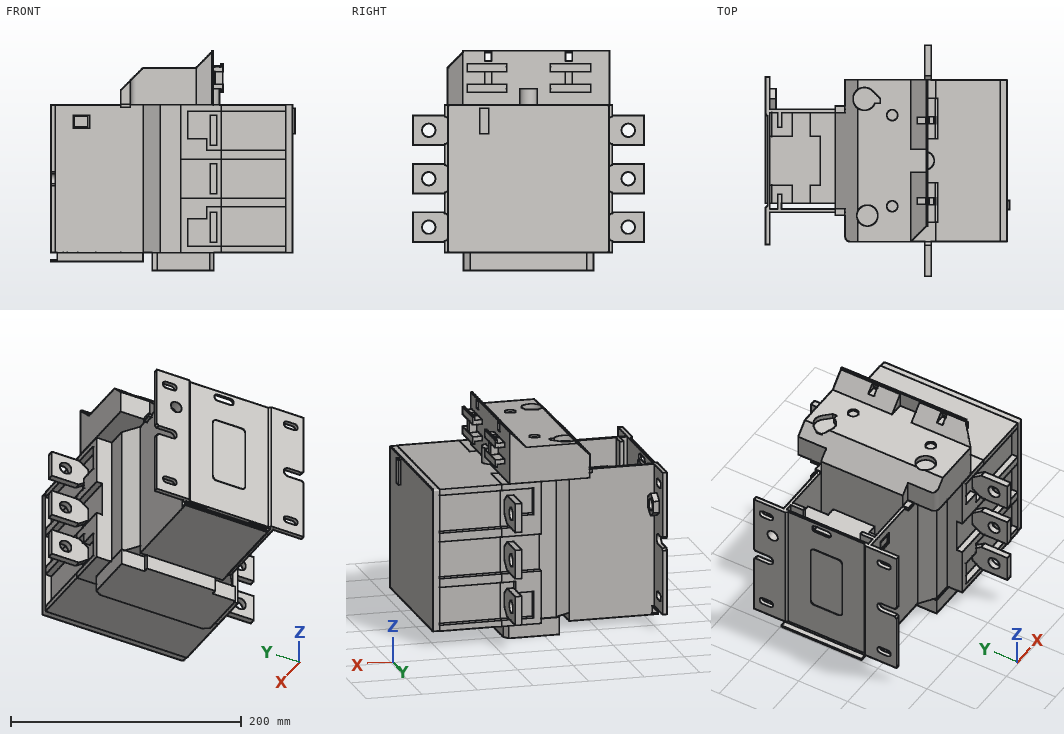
import cadquery as cq
import math


OVERALL_LENGTH = 212.0
BODY_HALF_HEIGHT = 64.15
BODY_HALF_WIDTH = 70.1
WALL_INNER_Y = 41.7
WALL_OUTER_Y = 44.7
POLE_PITCH = 42.0
SIDES = (-1, 1)

PLATE_THICKNESS = 4.0
PLATE_HALF_WIDTH = 72.8
WALL_END_X = 80.2
JOGGLE_DEPTH = 2.0
JOGGLE_HALF_WIDTH = 40.8
FIXING_SLOT_Y = 60.0
FIXING_SLOT_Z = 51.0
FIXING_SLOT_LENGTH = 13.6
FIXING_SLOT_WIDTH = 6.6
OPEN_SLOT_END_Y = 53.2
OPEN_SLOT_WIDTH = 8.8
OPEN_SLOT_FLARE = 1.8
PLATE_SLOT_Y = 5.0
PLATE_SLOT_Z = 57.1
PLATE_SLOT_LENGTH = 19.2
PANEL_WIDTH = 32.2
PANEL_HEIGHT = 65.0
PANEL_CORNER = 4.0
PANEL_RECESS = 0.4
EARTH_Y = 53.6
EARTH_Z = 30.5
EARTH_HOLE = 10.6
EARTH_NUT_ACROSS_FLATS = 17.6
EARTH_NUT_HEIGHT = 5.5
LUG_X = 10.8
LUG_THICKNESS = 3.5
LUG_LENGTH = 12.6
WALL_MARK_X = 26.5
WALL_MARK_Z = 49.5
WALL_MARK_SIZE = (14.2, 11.0)
WALL_MARK_INNER_X = 26.2
WALL_MARK_INNER_SIZE = (12.0, 9.0)
WALL_MARK_DEPTH = 0.6

TRAY_MIN_Y = -37.1
TRAY_FRONT_X = 5.6
TRAY_BOTTOM_Z = -71.9
TRAY_LIP = 1.5
COIL_TOP_Z = 40.6
COIL_CENTRE_HALF_WIDTH = 21.1
COIL_CENTRE_END_X = 47.5
COIL_SIDE_START_X = 23.5
COIL_SIDE_END_X = 38.9

HOUSING_FRONT_X = 60.5
SHOULDER_X = 95.0
SHOULDER_Y = 55.0
FLANK_X = 112.6
COVER_X = 147.8
RECESS_FLOOR_Y = 64.3
MID_CELL_HALF_HEIGHT = 16.7
CELL_START_X = 119.0
CELL_NECK_X = 135.4
CELL_BOTTOM_Z = 24.5
CELL_SHELF_Z = 34.8
CELL_TOP_Z = 58.7
TAB_END_X = 69.1
TAB_OUTER_Y = 47.5
TAB_BOTTOM_Z = 61.8
TAB_TOP_Z = 64.8

BOX_HALF_WIDTH = 70.4
BOX_TOP_Z = 96.2
BOX_NOSE_Z = 76.6
BOX_CORNER_RADIUS = 4.9
FLAP_X = 126.0
FLAP_TOP_Z = 111.0
BOX_BACK_X = 141.0
FLAP_LIP = 1.6
FLAP_NOTCH_HALF_WIDTH = 9.9
WINDOW_WIDTH = 5.8
WINDOW_BOTTOM_Z = 102.2
WINDOW_TOP_Z = 109.4
CLAMP_Y = 35.0
KEY_X, KEY_Y, KEY_RADIUS = 86.0, 53.6, 9.9
KEY_TIP_X = 99.6
KEY_TIP_Y = 50.0
CUP_X, CUP_Y, CUP_RADIUS = 88.5, -47.6, 9.1
CUP_DEPTH = 4.9
DIMPLE_X, DIMPLE_Y, DIMPLE_RADIUS, DIMPLE_DEPTH = 110.1, 39.5, 4.7, 2.0
POST_X, POST_RADIUS, POST_TOP_Z = 138.7, 7.8, 78.2

CLAMP_MID_Z = 87.4
CLAMP_END_X = 149.4
CLAMP_LIP = 1.8
CLAMP_JAW_GAP = 10.8
CLAMP_HEIGHT = 19.0
CLAMP_LIP_HEIGHT = 24.4
CLAMP_RANGES = ((19.0, 54.0), (-53.3, -19.0))
CLAMP_SCREW_WIDTH = 6.0
CLAMP_SCREW_START_X = 142.3
CLAMP_SCREW_END_X = 149.2
CLAMP_PEG_END_X = 146.2
CLAMP_PEG_TOP_Z = 98.0

BASE_BOTTOM_Z = -79.72
BASE_STEP_X = 87.8
BASE_STEP_HALF_WIDTH = 33.8
BASE_FRONT_X = 92.4
BASE_HALF_WIDTH = 56.4
BASE_BACK_X = 141.4
BASE_CHAMFER_X = 3.7
BASE_CHAMFER_Y = 5.7

TERMINAL_X = 138.3
TERMINAL_THICKNESS = 5.8
TERMINAL_TIP_Y = 100.2
TERMINAL_HALF_HEIGHT = 12.95
TERMINAL_ROOT_HALF_HEIGHT = 6.4
TERMINAL_SHOULDER_Y = 73.5
TERMINAL_HOLE_Y = 86.5
TERMINAL_HOLE = 11.4

END_PLATE_X = 203.8
COVER_END_X = 210.0
END_PLATE_OVERHANG = 0.1
TONGUE_HALF_WIDTH = 35.0
TONGUE_DEPTH = 5.0
COVER_CORNER_RADIUS = 1.5
COVER_EDGE_CHAMFER = 0.5
BUTTON_Y = (-42.4, -34.4)
BUTTON_Z = (39.0, 61.2)


def block(x_range, y_range, z_range):
    """Box given by its lower and upper limits along each axis."""
    size = [high - low for low, high in (x_range, y_range, z_range)]
    corner = (x_range[0], y_range[0], z_range[0])
    return cq.Workplane("XY").box(*size, centered=False).translate(corner)


def column(points, bottom_z, top_z):
    """Prism standing on an outline in X and Y."""
    return cq.Workplane("XY").workplane(offset=bottom_z).polyline(points).close().extrude(top_z - bottom_z)


def side_range(side, inner, outer):
    """Y limits of a strip between two distances from the middle, on one side."""
    return tuple(sorted((side * inner, side * outer)))


FULL_HEIGHT = (-BODY_HALF_HEIGHT, BODY_HALF_HEIGHT)


def mounting_plate():
    """Plate with a shallow joggle, fixing slots, open side slots and the earth terminal."""
    recess_half_width = JOGGLE_HALF_WIDTH - JOGGLE_DEPTH
    plate = block((0, PLATE_THICKNESS), (-PLATE_HALF_WIDTH, PLATE_HALF_WIDTH), FULL_HEIGHT)
    joggle = column(
        [
            (0, -JOGGLE_HALF_WIDTH),
            (JOGGLE_DEPTH, -recess_half_width),
            (JOGGLE_DEPTH, recess_half_width),
            (0, JOGGLE_HALF_WIDTH),
        ],
        *FULL_HEIGHT,
    )
    slots = (
        cq.Workplane("YZ")
        .pushPoints([(y * FIXING_SLOT_Y, z * FIXING_SLOT_Z) for y in SIDES for z in SIDES])
        .slot2D(FIXING_SLOT_LENGTH, FIXING_SLOT_WIDTH)
        .extrude(PLATE_THICKNESS)
    )
    centre_slot = (
        cq.Workplane("YZ")
        .center(PLATE_SLOT_Y, PLATE_SLOT_Z)
        .slot2D(PLATE_SLOT_LENGTH, FIXING_SLOT_WIDTH)
        .extrude(PLATE_THICKNESS)
    )
    panel = (
        cq.Workplane("YZ", origin=(JOGGLE_DEPTH, 0, 0))
        .rect(PANEL_WIDTH, PANEL_HEIGHT)
        .extrude(PANEL_RECESS)
        .edges("|X")
        .fillet(PANEL_CORNER)
    )
    plate = plate.cut(joggle).cut(slots).cut(centre_slot).cut(panel)
    for side in SIDES:
        plate = plate.cut(open_slot(side))
    nut = (
        cq.Workplane("YZ", origin=(PLATE_THICKNESS, EARTH_Y, EARTH_Z))
        .polygon(6, EARTH_NUT_ACROSS_FLATS / math.cos(math.pi / 6))
        .extrude(EARTH_NUT_HEIGHT)
        .rotate((0, EARTH_Y, EARTH_Z), (1, EARTH_Y, EARTH_Z), 30)
    )
    hole = (
        cq.Workplane("YZ", origin=(0, EARTH_Y, EARTH_Z))
        .circle(EARTH_HOLE / 2)
        .extrude(PLATE_THICKNESS + EARTH_NUT_HEIGHT)
    )
    return plate.union(nut).cut(hole)


def open_slot(side):
    """Cutter for a round-ended slot that opens, slightly flared, at the plate's side edge."""
    radius = OPEN_SLOT_WIDTH / 2
    arc_start_y = side * (OPEN_SLOT_END_Y + radius)
    flare_y = side * (PLATE_HALF_WIDTH - OPEN_SLOT_FLARE)
    edge_y = side * PLATE_HALF_WIDTH
    mouth = radius + OPEN_SLOT_FLARE
    return (
        cq.Workplane("YZ")
        .moveTo(arc_start_y, radius)
        .lineTo(flare_y, radius)
        .lineTo(edge_y, mouth)
        .lineTo(edge_y, -mouth)
        .lineTo(flare_y, -radius)
        .lineTo(arc_start_y, -radius)
        .threePointArc((side * OPEN_SLOT_END_Y, 0), (arc_start_y, radius))
        .close()
        .extrude(PLATE_THICKNESS)
    )


def frame_side(side):
    """Side wall with an inward lug, notched on top for the housing's tab."""
    wall = block((PLATE_THICKNESS, WALL_END_X), side_range(side, WALL_INNER_Y, WALL_OUTER_Y), FULL_HEIGHT)
    lug = block(
        (LUG_X, LUG_X + LUG_THICKNESS),
        side_range(side, WALL_INNER_Y - LUG_LENGTH, WALL_INNER_Y),
        FULL_HEIGHT,
    )
    notch = block(
        (HOUSING_FRONT_X, TAB_END_X),
        side_range(side, WALL_INNER_Y, WALL_OUTER_Y),
        (TAB_BOTTOM_Z, BODY_HALF_HEIGHT),
    )
    return wall.union(lug).cut(notch)


def wall_mark():
    """Cutter for the stepped shallow rectangle in the outside of the -Y wall."""
    width, height = WALL_MARK_SIZE
    inner_width, inner_height = WALL_MARK_INNER_SIZE
    outer = cq.Workplane("XY").box(width, 2 * WALL_MARK_DEPTH, height)
    inner = cq.Workplane("XY").box(inner_width, 4 * WALL_MARK_DEPTH, inner_height)
    return outer.translate((WALL_MARK_X, -WALL_OUTER_Y, WALL_MARK_Z)).union(
        inner.translate((WALL_MARK_INNER_X, -WALL_OUTER_Y, WALL_MARK_Z))
    )


def coil():
    """Coil block on its tray, with a narrow lip in front of the tray."""
    bottom = -BODY_HALF_HEIGHT
    centre = block(
        (PLATE_THICKNESS, COIL_CENTRE_END_X),
        (-COIL_CENTRE_HALF_WIDTH, COIL_CENTRE_HALF_WIDTH),
        (bottom, COIL_TOP_Z),
    )
    sides = block((COIL_SIDE_START_X, COIL_SIDE_END_X), (TRAY_MIN_Y, WALL_INNER_Y), (bottom, COIL_TOP_Z))
    tray = block((TRAY_FRONT_X, WALL_END_X), (TRAY_MIN_Y, WALL_OUTER_Y), (TRAY_BOTTOM_Z, bottom))
    lip = block((0, TRAY_FRONT_X), (TRAY_MIN_Y, WALL_OUTER_Y), (TRAY_BOTTOM_Z, TRAY_BOTTOM_Z + TRAY_LIP))
    return centre.union(sides).union(tray).union(lip)


def mounting_frame():
    frame = mounting_plate()
    for side in SIDES:
        frame = frame.union(frame_side(side))
    return frame.cut(wall_mark()).union(coil())


def side_cells(side):
    """Cutter for the three pole cells in one flank."""
    depth = side_range(side, RECESS_FLOOR_Y, BODY_HALF_WIDTH)
    cells = block((FLANK_X, END_PLATE_X), depth, (-MID_CELL_HALF_HEIGHT, MID_CELL_HALF_HEIGHT))
    for end in SIDES:
        shelf = tuple(sorted((end * CELL_SHELF_Z, end * CELL_TOP_Z)))
        neck = tuple(sorted((end * CELL_BOTTOM_Z, end * CELL_TOP_Z)))
        cells = cells.union(block((CELL_START_X, END_PLATE_X), depth, shelf))
        cells = cells.union(block((CELL_NECK_X, END_PLATE_X), depth, neck))
    return cells


def housing_core():
    """Full-height middle of the housing, stepping outwards from the frame to the flanks."""
    flank = [
        (HOUSING_FRONT_X, WALL_INNER_Y),
        (WALL_END_X, WALL_INNER_Y),
        (WALL_END_X, WALL_OUTER_Y),
        (SHOULDER_X, SHOULDER_Y),
        (FLANK_X, SHOULDER_Y),
        (FLANK_X, BODY_HALF_WIDTH),
        (COVER_X, BODY_HALF_WIDTH),
    ]
    mirrored = [(x, -y) for x, y in reversed(flank)]
    core = column(flank + mirrored, *FULL_HEIGHT)
    core = core.cut(cover_tongue())
    for side in SIDES:
        core = core.cut(side_cells(side))
        core = core.union(
            block(
                (HOUSING_FRONT_X, TAB_END_X),
                side_range(side, WALL_INNER_Y, TAB_OUTER_Y),
                (TAB_BOTTOM_Z, TAB_TOP_Z),
            )
        )
    return core


def upper_box():
    """Box on top of the housing: sloping nose, and a sloping flap at its back edge."""
    nose_run = BOX_TOP_Z - BOX_NOSE_Z
    flap_edge_x = BOX_BACK_X - FLAP_LIP
    flap_run = flap_edge_x - FLAP_X
    profile = [
        (HOUSING_FRONT_X, BODY_HALF_HEIGHT),
        (HOUSING_FRONT_X, BOX_NOSE_Z),
        (HOUSING_FRONT_X + nose_run, BOX_TOP_Z),
        (FLAP_X, BOX_TOP_Z),
        (flap_edge_x, BOX_TOP_Z + flap_run),
        (flap_edge_x, FLAP_TOP_Z),
        (BOX_BACK_X, FLAP_TOP_Z),
        (BOX_BACK_X, BODY_HALF_HEIGHT),
    ]
    box = (
        cq.Workplane("XZ", origin=(0, BOX_HALF_WIDTH, 0))
        .polyline(profile)
        .close()
        .extrude(2 * BOX_HALF_WIDTH)
    )
    plan = column(
        [
            (HOUSING_FRONT_X, -WALL_INNER_Y),
            (TAB_END_X, -WALL_INNER_Y),
            (TAB_END_X, -BOX_HALF_WIDTH),
            (FLAP_X, -BOX_HALF_WIDTH),
            (flap_edge_x, flap_run - BOX_HALF_WIDTH),
            (BOX_BACK_X, flap_run - BOX_HALF_WIDTH),
            (BOX_BACK_X, BOX_HALF_WIDTH),
            (TAB_END_X, BOX_HALF_WIDTH),
            (TAB_END_X, WALL_INNER_Y),
            (HOUSING_FRONT_X, WALL_INNER_Y),
        ],
        BODY_HALF_HEIGHT,
        FLAP_TOP_Z,
    )
    nose_corner = cq.selectors.NearestToPointSelector((TAB_END_X, -BOX_HALF_WIDTH, BOX_TOP_Z))
    box = box.intersect(plan.edges("|Z").edges(nose_corner).fillet(BOX_CORNER_RADIUS))
    notch = block(
        (FLAP_X, flap_edge_x),
        (-FLAP_NOTCH_HALF_WIDTH, FLAP_NOTCH_HALF_WIDTH),
        (BOX_TOP_Z, FLAP_TOP_Z),
    )
    box = box.cut(notch).cut(top_pockets())
    for side in SIDES:
        middle = side * CLAMP_Y
        box = box.cut(
            block(
                (FLAP_X, BOX_BACK_X),
                (middle - WINDOW_WIDTH / 2, middle + WINDOW_WIDTH / 2),
                (WINDOW_BOTTOM_Z, WINDOW_TOP_Z),
            )
        )
    return box


def top_pockets():
    """Cutter for the keyed pocket, the round pocket and the two dimples in the box top."""
    pocket_floor_z = BOX_TOP_Z - CUP_DEPTH
    tangent = KEY_RADIUS * math.sqrt(0.5)
    key_tip_top_y = KEY_Y + KEY_RADIUS * math.sqrt(2) - (KEY_TIP_X - KEY_X)
    key = column(
        [
            (KEY_X, KEY_Y),
            (KEY_X + tangent, KEY_Y + tangent),
            (KEY_TIP_X, key_tip_top_y),
            (KEY_TIP_X, KEY_TIP_Y),
            (KEY_X, KEY_TIP_Y),
        ],
        pocket_floor_z,
        BOX_TOP_Z,
    )
    floor = cq.Workplane("XY").workplane(offset=pocket_floor_z)
    key_round = floor.center(KEY_X, KEY_Y).circle(KEY_RADIUS).extrude(CUP_DEPTH)
    cup = floor.center(CUP_X, CUP_Y).circle(CUP_RADIUS).extrude(CUP_DEPTH)
    dimples = (
        cq.Workplane("XY")
        .workplane(offset=BOX_TOP_Z - DIMPLE_DEPTH)
        .pushPoints([(DIMPLE_X, side * DIMPLE_Y) for side in SIDES])
        .circle(DIMPLE_RADIUS)
        .extrude(DIMPLE_DEPTH)
    )
    return key.union(key_round).union(cup).union(dimples)


def coil_clamp(y_range, screw_y):
    """Two lipped jaws with a screw block between them and a peg through the upper jaw."""
    lip_start_x = CLAMP_END_X - CLAMP_LIP
    screw_range = (screw_y - CLAMP_SCREW_WIDTH / 2, screw_y + CLAMP_SCREW_WIDTH / 2)
    gap_half = CLAMP_JAW_GAP / 2
    screw = block(
        (CLAMP_SCREW_START_X, CLAMP_SCREW_END_X),
        screw_range,
        (CLAMP_MID_Z - gap_half, CLAMP_MID_Z + gap_half),
    )
    peg = block(
        (CLAMP_SCREW_START_X, CLAMP_PEG_END_X),
        screw_range,
        (CLAMP_MID_Z + gap_half, CLAMP_PEG_TOP_Z),
    )
    clamp = screw.union(peg)
    for end in SIDES:
        inner = CLAMP_MID_Z + end * gap_half
        outer = CLAMP_MID_Z + end * CLAMP_HEIGHT / 2
        lip_end = CLAMP_MID_Z + end * CLAMP_LIP_HEIGHT / 2
        clamp = clamp.union(block((BOX_BACK_X, CLAMP_END_X), y_range, tuple(sorted((inner, outer)))))
        clamp = clamp.union(block((lip_start_x, CLAMP_END_X), y_range, tuple(sorted((inner, lip_end)))))
    return clamp


def lower_block():
    """Block under the housing, stepped in front and chamfered at its back corners."""
    side_outline = [
        (BASE_STEP_X, BASE_STEP_HALF_WIDTH),
        (BASE_FRONT_X, BASE_STEP_HALF_WIDTH),
        (BASE_FRONT_X, BASE_HALF_WIDTH),
        (BASE_BACK_X - BASE_CHAMFER_X, BASE_HALF_WIDTH),
        (BASE_BACK_X, BASE_HALF_WIDTH - BASE_CHAMFER_Y),
    ]
    mirrored = [(x, -y) for x, y in reversed(side_outline)]
    return column(side_outline + mirrored, BASE_BOTTOM_Z, -BODY_HALF_HEIGHT)


def power_terminal(side, z):
    """Flat terminal bar with a tapered root and a round hole."""
    outline = [
        (RECESS_FLOOR_Y, TERMINAL_ROOT_HALF_HEIGHT),
        (TERMINAL_SHOULDER_Y, TERMINAL_HALF_HEIGHT),
        (TERMINAL_TIP_Y, TERMINAL_HALF_HEIGHT),
    ]
    mirrored = [(y, -height) for y, height in reversed(outline)]
    points = [(side * y, height) for y, height in outline + mirrored]
    bar = cq.Workplane("YZ", origin=(TERMINAL_X, 0, z)).polyline(points).close().extrude(TERMINAL_THICKNESS)
    hole = (
        cq.Workplane("YZ", origin=(TERMINAL_X, side * TERMINAL_HOLE_Y, z))
        .circle(TERMINAL_HOLE / 2)
        .extrude(TERMINAL_THICKNESS)
    )
    return bar.cut(hole)


def contactor_housing():
    housing = housing_core().union(upper_box()).union(lower_block())
    post = (
        cq.Workplane("XY")
        .workplane(offset=BODY_HALF_HEIGHT)
        .center(POST_X, 0)
        .circle(POST_RADIUS)
        .extrude(POST_TOP_Z - BODY_HALF_HEIGHT)
    )
    housing = housing.union(post)
    for y_range, screw_y in zip(CLAMP_RANGES, (CLAMP_Y, -CLAMP_Y)):
        housing = housing.union(coil_clamp(y_range, screw_y))
    for side in SIDES:
        for pole in (-1, 0, 1):
            housing = housing.union(power_terminal(side, pole * POLE_PITCH))
    return housing


def cover_tongue():
    """Strip of the cover that reaches into the top of the housing behind the box."""
    return block(
        (BOX_BACK_X, COVER_X),
        (-TONGUE_HALF_WIDTH, TONGUE_HALF_WIDTH),
        (BODY_HALF_HEIGHT - TONGUE_DEPTH, BODY_HALF_HEIGHT),
    )


def arc_cover():
    """Arc chamber with cells in its flanks, a slightly proud end plate and a button."""
    cover = block((COVER_X, END_PLATE_X), (-BODY_HALF_WIDTH, BODY_HALF_WIDTH), FULL_HEIGHT)
    for side in SIDES:
        cover = cover.cut(side_cells(side))
    plate_half_width = BODY_HALF_WIDTH + END_PLATE_OVERHANG
    plate_half_height = BODY_HALF_HEIGHT + END_PLATE_OVERHANG
    end_plate = (
        block(
            (END_PLATE_X, COVER_END_X),
            (-plate_half_width, plate_half_width),
            (-plate_half_height, plate_half_height),
        )
        .edges("|X")
        .fillet(COVER_CORNER_RADIUS)
        .faces(">X")
        .chamfer(COVER_EDGE_CHAMFER)
    )
    button = block((COVER_END_X, OVERALL_LENGTH), BUTTON_Y, BUTTON_Z)
    return cover.union(cover_tongue()).union(end_plate).union(button)


frame = mounting_frame()
housing = contactor_housing()
cover = arc_cover()

result = cq.Compound.makeCompound(
    [
        *frame.solids().vals(),
        *housing.solids().vals(),
        *cover.solids().vals(),
    ]
)